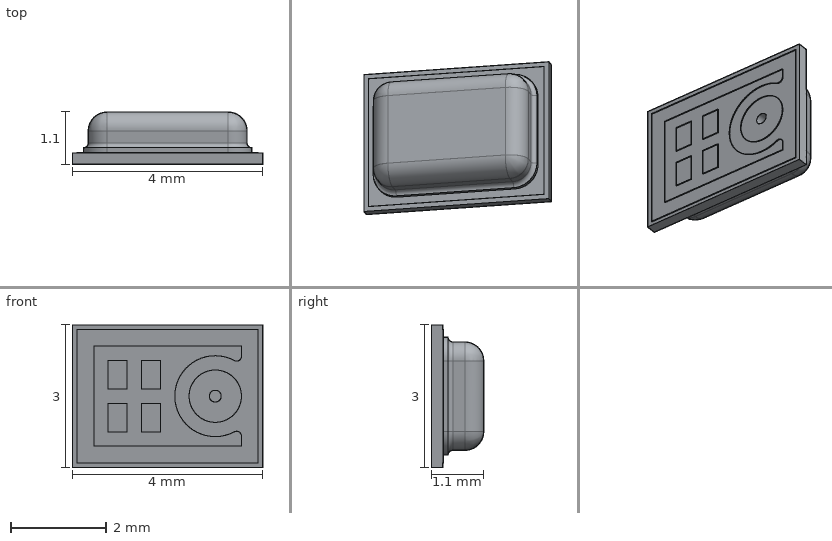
import cadquery as cq
import math

overall_depth = 1.1

board_length = 4.0
board_height = 3.0
plate_thickness = 0.24
step_thickness = 0.01
step_inset = 0.1
step_length = board_length - 2 * step_inset
step_height = board_height - 2 * step_inset
board_thickness = plate_thickness + step_thickness

inlay_depth = 0.02
contact_gap = 0.3
pad_length = 0.4
pad_height = 0.6

window_length = 3.1
window_height = 2.1
window_tip_radius = 0.1

ring_diameter = 1.1
ring_radius = ring_diameter / 2
bite_radius = ring_radius + contact_gap
port_diameter = 0.25
ring_x = window_length / 2 - ring_radius

lid_length = 3.34
lid_height = 2.28
lid_depth = overall_depth - board_thickness
lid_corner_radius = 0.4
flange_width = 0.1
flange_thickness = 0.1
blend_margin = 4e-05


def block(length, height, y_start, thickness):
    """Rectangular block centred on the Y axis, growing from y_start towards +Y."""
    return (
        cq.Workplane("XZ", origin=(0, y_start, 0))
        .rect(length, height)
        .extrude(-thickness)
    )


def disc(radius, thickness):
    """Disc about the sound port axis, from y = 0 towards +Y."""
    return (
        cq.Workplane("XZ", origin=(ring_x, 0, 0))
        .circle(radius)
        .extrude(-thickness)
    )


def make_window():
    """Shape left free by the coating around the pads, its two pointed tips rounded."""
    window = block(window_length, window_height, 0, inlay_depth)
    window = window.cut(disc(bite_radius, inlay_depth))
    tip_x = window_length / 2
    tip_z = math.sqrt(bite_radius**2 - (tip_x - ring_x) ** 2)
    for side in (-1, 1):
        tip_point = (tip_x, inlay_depth / 2, side * tip_z)
        tip_edge = cq.selectors.NearestToPointSelector(tip_point)
        window = window.edges("|Y").edges(tip_edge).fillet(window_tip_radius)
    return window


def make_coating():
    """Layer open at the window and at the contact ring."""
    coating = block(step_length, step_height, 0, inlay_depth)
    coating = coating.cut(make_window())
    return coating.cut(disc(ring_radius, inlay_depth))


def make_pad(x, z):
    return block(pad_length, pad_height, 0, inlay_depth).translate((x, 0, z))


def make_pads():
    """Two columns and two rows of pads, at the end of the window away from the ring."""
    column_pitch = pad_length + contact_gap
    row_pitch = pad_height + contact_gap
    first_x = -window_length / 2 + contact_gap + pad_length / 2
    first_z = -row_pitch / 2
    pads = []
    for column in range(2):
        for row in range(2):
            pads.append(make_pad(first_x + column * column_pitch, first_z + row * row_pitch))
    return pads


def make_board(inlays):
    """Stepped plate with a recess for each inlay and the sound port through it."""
    board = block(board_length, board_height, 0, plate_thickness)
    board = board.union(block(step_length, step_height, plate_thickness, step_thickness))
    for inlay in inlays:
        board = board.cut(inlay)
    return board.cut(disc(port_diameter / 2, board_thickness))


def make_lid():
    """Dome with rounded corners and top, blended by a hollow curve into its flange."""
    dome = block(lid_length, lid_height, board_thickness, lid_depth)
    dome = dome.edges("|Y").fillet(lid_corner_radius)
    dome = dome.faces(">Y").edges().fillet(lid_corner_radius - blend_margin)

    flange_length = lid_length + 2 * flange_width
    flange_height = lid_height + 2 * flange_width
    flange = block(flange_length, flange_height, board_thickness, flange_thickness)
    flange = flange.edges("|Y").fillet(lid_corner_radius + flange_width)
    lid = dome.union(flange)

    flange_top = (0, board_thickness + flange_thickness, 0)
    flange_face = lid.faces(cq.selectors.NearestToPointSelector(flange_top))
    foot = flange_face.wires(cq.selectors.LengthNthSelector(0))
    return foot.edges().fillet(flange_width - blend_margin)


coating = make_coating()
pads = make_pads()
board = make_board([coating, *pads])
lid = make_lid()

result = cq.Compound.makeCompound([board.val(), coating.val(), *[pad.val() for pad in pads], lid.val()])